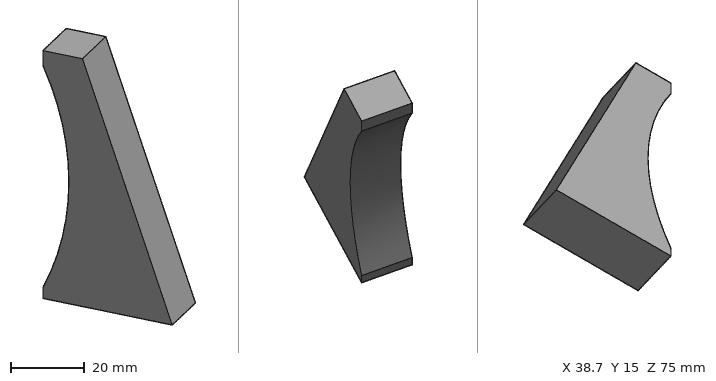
import cadquery as cq

height = 75.0
thickness = 15.0
base_length = 38.7
top_length = 11.85

lower_flat = 3.4
upper_flat = 4.65
arc_depth = 7.7

arc_start_z = lower_flat
arc_end_z = height - upper_flat
arc_middle_z = (arc_start_z + arc_end_z) / 2

profile = (
    cq.Workplane("XZ")
    .moveTo(0, 0)
    .lineTo(base_length, 0)
    .lineTo(top_length, height)
    .lineTo(0, height)
    .lineTo(0, arc_end_z)
    .threePointArc((arc_depth, arc_middle_z), (0, arc_start_z))
    .close()
)

result = profile.extrude(thickness / 2, both=True)